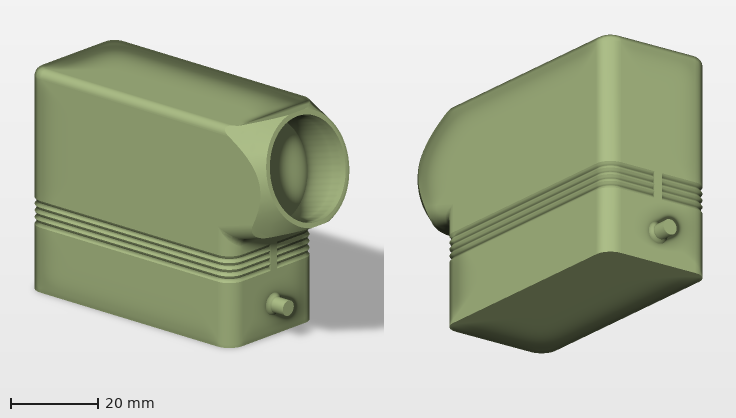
import cadquery as cq
import math

TOTAL_LENGTH = 81.5
BODY_LENGTH = 62.9
BODY_WIDTH = 29.4
BODY_HEIGHT = 54.05
CORNER_RADIUS = 4.0
TOP_RADIUS = 2.0
HALF_LENGTH = BODY_LENGTH / 2
HALF_WIDTH = BODY_WIDTH / 2

NECK_TILT = 15
NECK_HEIGHT = 26.9
NECK_TOP_LENGTH = 7.3
NECK_INNER_RADIUS = 2.0
MOUTH_RADIUS = 13.7
MOUTH_TAPER = 31
TAPER_LENGTH = 12.6
BORE_RADIUS = 12.5
BORE_DEPTH = 12.2

GROOVE_COUNT = 4
GROOVE_PITCH = 1.6
GROOVE_DEPTH = 0.6
GROOVE_BOTTOM = 15.8
GROOVE_GAP = 2.2

PEG_RADIUS = 1.9
PEG_HEIGHT = 7.5
PEG_ROOT_RADIUS = 2.7
PEG_ROOT_LENGTH = 0.8

tilt = math.radians(NECK_TILT)
axis_x, axis_z = math.cos(tilt), math.sin(tilt)
mouth_top = (HALF_LENGTH + NECK_TOP_LENGTH * axis_x, BODY_HEIGHT + NECK_TOP_LENGTH * axis_z)
mouth_bottom = (mouth_top[0] + NECK_HEIGHT * axis_z, mouth_top[1] - NECK_HEIGHT * axis_x)
mouth_center = ((mouth_top[0] + mouth_bottom[0]) / 2, (mouth_top[1] + mouth_bottom[1]) / 2)
neck_corner_height = mouth_bottom[1] - (mouth_bottom[0] - HALF_LENGTH) * math.tan(tilt)

peg_length = TOTAL_LENGTH - mouth_bottom[0] - HALF_LENGTH

neck_plane = cq.Plane(
    origin=(mouth_center[0], 0, mouth_center[1]),
    xDir=(axis_x, 0, axis_z),
    normal=(0, -1, 0),
)


def nearest(x, y, z):
    """Selector for the edge or face whose centre is closest to a point."""
    return cq.selectors.NearestToPointSelector((x, y, z))


def make_shell():
    """Body and neck as one extruded side outline with rounded edges."""
    outline = [
        (-HALF_LENGTH, 0),
        (HALF_LENGTH, 0),
        (HALF_LENGTH, neck_corner_height),
        mouth_bottom,
        mouth_top,
        (HALF_LENGTH, BODY_HEIGHT),
        (-HALF_LENGTH, BODY_HEIGHT),
    ]
    shell = cq.Workplane("XZ").polyline(outline).close().extrude(HALF_WIDTH, both=True)

    neck_underside = (
        (HALF_LENGTH + mouth_bottom[0]) / 2,
        (neck_corner_height + mouth_bottom[1]) / 2,
    )
    corner_middles = [
        (-HALF_LENGTH, BODY_HEIGHT / 2),
        (HALF_LENGTH, neck_corner_height / 2),
        neck_underside,
    ]
    corner_edges = [
        shell.edges(nearest(x, y, z)).val()
        for x, z in corner_middles
        for y in (-HALF_WIDTH, HALF_WIDTH)
    ]
    shell = shell.newObject(corner_edges).fillet(CORNER_RADIUS)

    shell = shell.edges(nearest(HALF_LENGTH, 0, neck_corner_height)).fillet(NECK_INNER_RADIUS)

    roof_middle = ((HALF_LENGTH + mouth_top[0]) / 2, (BODY_HEIGHT + mouth_top[1]) / 2)
    top_rim = shell.faces(nearest(0, 0, BODY_HEIGHT)).edges("not(>X)").vals()
    roof_edges = [
        shell.edges(nearest(roof_middle[0], y, roof_middle[1])).val()
        for y in (-HALF_WIDTH, HALF_WIDTH)
    ]
    return shell.newObject(top_rim + roof_edges).fillet(TOP_RADIUS)


def make_mouth_trim():
    """Material outside the cone that tapers the neck towards its round mouth."""
    wide_radius = MOUTH_RADIUS + TAPER_LENGTH * math.tan(math.radians(MOUTH_TAPER))
    section = [(0, MOUTH_RADIUS), (0, wide_radius), (-TAPER_LENGTH, wide_radius)]
    return cq.Workplane(neck_plane).polyline(section).close().revolve(360, (0, 0), (1, 0))


def make_bore():
    """Round blind bore along the neck axis."""
    section = [(0, 0), (0, BORE_RADIUS), (-BORE_DEPTH, BORE_RADIUS), (-BORE_DEPTH, 0)]
    return cq.Workplane(neck_plane).polyline(section).close().revolve(360, (0, 0), (1, 0))


def make_groove(bottom):
    """One V groove: a flat ring of the body outline around a waisted core."""
    half_pitch = GROOVE_PITCH / 2
    taper = math.degrees(math.atan(GROOVE_DEPTH / half_pitch))
    outline = cq.Sketch().rect(BODY_LENGTH, BODY_WIDTH).vertices().fillet(CORNER_RADIUS)
    lower_core = cq.Workplane().placeSketch(outline).extrude(half_pitch, taper=taper)
    upper_core = lower_core.mirror("XY", (0, 0, half_pitch))
    on_base = (True, True, False)
    slab = cq.Workplane().box(2 * BODY_LENGTH, 2 * BODY_WIDTH, GROOVE_PITCH, centered=on_base)
    web = cq.Workplane().box(2 * BODY_LENGTH, GROOVE_GAP, GROOVE_PITCH, centered=on_base)
    groove = slab.cut(lower_core).cut(upper_core).cut(web)
    return groove.translate((0, 0, bottom))


def make_peg(side):
    """Peg on the +X end (side = 1) or the -X end (side = -1)."""
    section = [
        (0, 0),
        (0, PEG_ROOT_RADIUS),
        (PEG_ROOT_LENGTH, PEG_RADIUS),
        (peg_length, PEG_RADIUS),
        (peg_length, 0),
    ]
    section = [(side * (HALF_LENGTH + x), r) for x, r in section]
    peg = cq.Workplane("XZ").polyline(section).close().revolve(360, (0, 0), (1, 0))
    return peg.translate((0, 0, PEG_HEIGHT))


result = make_shell().cut(make_mouth_trim()).cut(make_bore())
for index in range(GROOVE_COUNT):
    result = result.cut(make_groove(GROOVE_BOTTOM + index * GROOVE_PITCH))
for side in (-1, 1):
    result = result.union(make_peg(side))